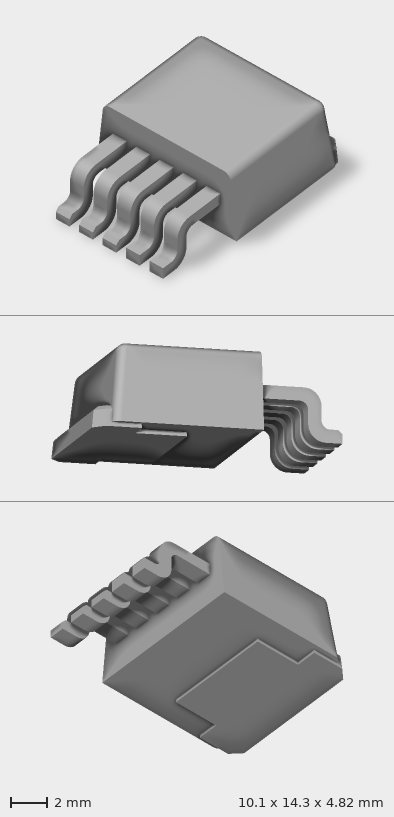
import cadquery as cq

draft_angle = 6.0
overall_length = 14.35
overall_height = 4.82

housing_width = 10.12
housing_length = 8.61
standoff = 0.25
housing_round = 0.5

lead_count = 5
bevelled_lead_count = 3
lead_pitch = 1.7
lead_width = 0.99
lead_thickness = 0.76
lead_reach = 4.81
lead_top = 3.04
foot_length = 1.2
outer_bend = 1.0
inner_bend = 0.5
toe_bevel = 0.25

tab_width = 9.47
tab_rear = overall_length - lead_reach
tab_length = 5.63
wide_plate_length = 2.68
heel_width = (lead_count - 1) * lead_pitch
tab_thickness = 1.25
corner_clip = 0.63
tab_bevel = 0.26


def make_tab():
    """Drafted heat tab, bevelled around its top face."""
    half_width = tab_width / 2
    half_heel = heel_width / 2
    tab_front = tab_rear - tab_length
    step = tab_rear - wide_plate_length
    outline = [
        (-half_heel, tab_front),
        (half_heel, tab_front),
        (half_heel, step),
        (half_width, step),
        (half_width, tab_rear - corner_clip),
        (half_width - corner_clip, tab_rear),
        (corner_clip - half_width, tab_rear),
        (-half_width, tab_rear - corner_clip),
        (-half_width, step),
        (-half_heel, step),
    ]
    plate = cq.Workplane("XY").polyline(outline).close().extrude(tab_thickness, taper=draft_angle)
    return plate.faces(">Z").edges().chamfer(tab_bevel)


def make_housing(tab):
    """Block with an upright front, three drafted walls, rounded edges and a recess for the tab."""
    height = overall_height - standoff
    block = (
        cq.Workplane("XY", origin=(0, 0, standoff))
        .rect(housing_width, 2 * housing_length)
        .extrude(height, taper=draft_angle)
    )
    rear_corners = "(not #Z) and (not |X) and (not |Y)"
    block = block.edges(rear_corners).fillet(housing_round)
    block = block.faces(">Z").edges().fillet(housing_round)
    front_half = (
        cq.Workplane("XY")
        .box(housing_width, housing_length, overall_height, centered=(True, False, False))
        .translate((0, -housing_length, 0))
    )
    return block.cut(front_half).cut(tab)


def make_lead(x_center, bevelled):
    """Gull-wing lead: straight shank, downward bend, upright and flat foot."""
    upright_front = foot_length - lead_reach
    upright_rear = upright_front + lead_thickness
    profile = [
        (0, lead_top),
        (upright_front, lead_top),
        (upright_front, lead_thickness),
        (-lead_reach, lead_thickness),
        (-lead_reach, 0),
        (upright_rear, 0),
        (upright_rear, lead_top - lead_thickness),
        (0, lead_top - lead_thickness),
    ]
    lead = (
        cq.Workplane("YZ", origin=(x_center - lead_width / 2, 0, 0))
        .polyline(profile)
        .close()
        .extrude(lead_width)
    )

    def bend_edge(y, z):
        return cq.selectors.NearestToPointSelector((x_center, y, z))

    lead = lead.edges(bend_edge(upright_front, lead_top)).fillet(outer_bend)
    lead = lead.edges(bend_edge(upright_rear, 0)).fillet(outer_bend)
    lead = lead.edges(bend_edge(upright_front, lead_thickness)).fillet(inner_bend)
    lead = lead.edges(bend_edge(upright_rear, lead_top - lead_thickness)).fillet(inner_bend)
    if bevelled:
        lead = lead.edges(bend_edge(-lead_reach, lead_thickness)).chamfer(toe_bevel)
    return lead


tab = make_tab()
housing = make_housing(tab)
leads = []
for index in range(lead_count):
    x_center = (index - (lead_count - 1) / 2) * lead_pitch
    leads.append(make_lead(x_center, index < bevelled_lead_count).val())

result = cq.Compound.makeCompound([housing.val(), tab.val(), *leads])